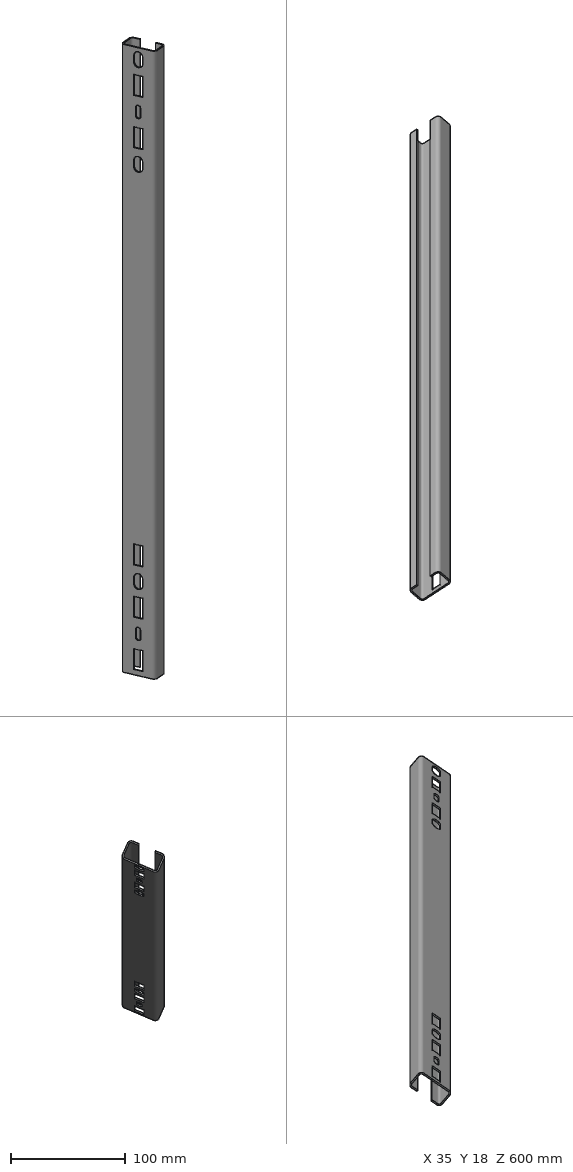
import cadquery as cq

LENGTH = 600.0
WIDTH = 35.0
DEPTH = 18.0
WALL = 1.5
OUTER_RADIUS = 3.5
LIP_GAP = 15.5

LONG_SLOT_WIDTH = 9.0
LONG_SLOT_HEIGHT = 20.0
ROUND_SLOT_WIDTH = 9.0
ROUND_SLOT_HEIGHT = 15.0
SMALL_SLOT_WIDTH = 5.5
SMALL_SLOT_HEIGHT = 12.5

BOTTOM_OFFSET = 15.0
TOP_OFFSET = 11.5
SLOT_PITCH = LENGTH / 24
BOTTOM_ROW = ["long", "small", "long", "round", "long"]
TOP_ROW = ["round", "long", "small", "long", "round"]


def rounded_bar(width, depth, radius):
    """Full-length bar centred on the Z axis with rounded long edges."""
    bar = cq.Workplane("XY").box(width, depth, LENGTH, centered=(True, True, False))
    return bar.edges("|Z").fillet(radius)


def make_rail():
    """Rounded tube opened along the middle of its +Y wall."""
    outer = rounded_bar(WIDTH, DEPTH, OUTER_RADIUS)
    inner = rounded_bar(WIDTH - 2 * WALL, DEPTH - 2 * WALL, OUTER_RADIUS - WALL)
    opening = cq.Workplane("XY").box(LIP_GAP, DEPTH, LENGTH, centered=(True, False, False))
    return outer.cut(inner).cut(opening)


def slot_cutter(kind, z):
    """Cutter through the web for one opening centred at height z."""
    sketch = cq.Workplane("XZ").center(0, z)
    if kind == "long":
        outline = sketch.rect(LONG_SLOT_WIDTH, LONG_SLOT_HEIGHT)
    elif kind == "round":
        outline = sketch.slot2D(ROUND_SLOT_HEIGHT, ROUND_SLOT_WIDTH, 90)
    else:
        outline = sketch.slot2D(SMALL_SLOT_HEIGHT, SMALL_SLOT_WIDTH, 90)
    return outline.extrude(DEPTH)


result = make_rail()
for index, kind in enumerate(BOTTOM_ROW):
    result = result.cut(slot_cutter(kind, BOTTOM_OFFSET + index * SLOT_PITCH))
for index, kind in enumerate(TOP_ROW):
    result = result.cut(slot_cutter(kind, LENGTH - TOP_OFFSET - index * SLOT_PITCH))